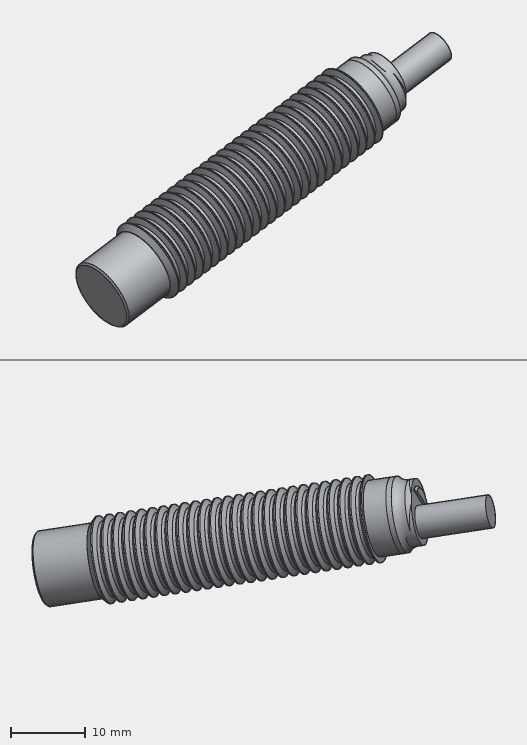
import cadquery as cq
import math


total_length = 63.2
crest_radius = 6.0
barrel_radius = 5.25

cap_radius = 5.2
face_chamfer = 0.25

first_crest_y = 8.7
crest_span = 38.05
ridge_count = 26
ridge_crest_width = 0.2
ridge_flank_angle = 30.0
housing_rear = 50.05

flange_thickness = 0.75
rear_face = 53.2
neck_radius = 4.55
neck_chamfer = 0.7
neck_land = 0.25
oval_end_radius = 3.8
oval_half_height = 4.7

lamp_radius = 3.1
lamp_height = 0.4
lamp_bevel = 0.3
lamp_axis_z = 0.5
lamp_flat_z = 1.85

cable_radius = 2.3
cable_axis_z = -1.6

ridge_height = crest_radius - barrel_radius
ridge_base_width = ridge_crest_width + 2 * ridge_height * math.tan(math.radians(ridge_flank_angle))
pitch = crest_span / (ridge_count - 1)
housing_front = first_crest_y - ridge_crest_width / 2 - ridge_height
flange_rear = housing_rear + flange_thickness
neck_rear = rear_face - neck_chamfer
neck_front = neck_rear - neck_land


def revolve_about_y(profile):
    """Turn a closed (radius, Y) profile into a solid around the Y axis."""
    return profile.close().revolve(360, (0, 0, 0), (0, 1, 0))


def rear_facing_plane(y, z=0.0):
    """Plane at the given Y whose normal points towards +Y and whose local Y axis points up."""
    return cq.Plane(origin=(0, y, z), xDir=(-1, 0, 0), normal=(0, 1, 0))


def make_sensing_cap():
    """Plain front cylinder with a small chamfer around the sensing face."""
    cap = cq.Workplane(rear_facing_plane(0)).circle(cap_radius).extrude(housing_front)
    return cap.faces("<Y").chamfer(face_chamfer)


def make_housing():
    """Barrel with separate ring ridges: a 45 degree lead-in in front, a flat shoulder behind."""
    profile = cq.Workplane("XY").moveTo(0, housing_front).lineTo(barrel_radius, housing_front)
    for i in range(ridge_count):
        ridge_y = first_crest_y + i * pitch
        crest_front = ridge_y - ridge_crest_width / 2
        crest_rear = ridge_y + ridge_crest_width / 2
        is_last = i == ridge_count - 1
        if i > 0:
            profile = profile.lineTo(barrel_radius, ridge_y - ridge_base_width / 2)
        profile = profile.lineTo(crest_radius, crest_front).lineTo(crest_radius, crest_rear)
        ridge_end = crest_rear if is_last else ridge_y + ridge_base_width / 2
        profile = profile.lineTo(barrel_radius, ridge_end)
    profile = profile.lineTo(barrel_radius, housing_rear).lineTo(0, housing_rear)
    return revolve_about_y(profile)


def make_rear_cap():
    """Flange that sweeps in to a chamfered neck, joined with an upright oval boss."""
    sweep_rise = barrel_radius - neck_radius
    sweep_length = neck_front - flange_rear
    sweep_radius = (sweep_length**2 + sweep_rise**2) / (2 * sweep_rise)
    half_angle = math.asin(sweep_length / sweep_radius) / 2
    sweep_middle = (
        neck_radius + sweep_radius * (1 - math.cos(half_angle)),
        neck_front - sweep_radius * math.sin(half_angle),
    )
    body = revolve_about_y(
        cq.Workplane("XY")
        .moveTo(0, housing_rear)
        .lineTo(barrel_radius, housing_rear)
        .lineTo(barrel_radius, flange_rear)
        .threePointArc(sweep_middle, (neck_radius, neck_front))
        .lineTo(neck_radius, neck_rear)
        .lineTo(neck_radius - neck_chamfer, rear_face)
        .lineTo(0, rear_face)
    )
    boss = (
        cq.Workplane(rear_facing_plane(flange_rear))
        .slot2D(2 * oval_half_height, 2 * oval_end_radius, angle=90)
        .extrude(rear_face - flange_rear)
    )
    return body.union(boss)


def make_lamp():
    """Low bevelled disc cut off by a horizontal flat, leaving only its upper segment."""
    disc = (
        cq.Workplane(rear_facing_plane(rear_face, lamp_axis_z))
        .circle(lamp_radius)
        .extrude(lamp_height)
        .faces(">Y")
        .chamfer(lamp_bevel)
    )
    upper_region = cq.Workplane("XY", origin=(0, rear_face, lamp_flat_z)).box(
        2 * lamp_radius, 2 * lamp_height, 2 * lamp_radius, centered=(True, True, False)
    )
    return disc.intersect(upper_region)


def make_cable():
    """Round cable stub standing on the rear face below the sensor axis."""
    cable_plane = rear_facing_plane(rear_face, cable_axis_z)
    return cq.Workplane(cable_plane).circle(cable_radius).extrude(total_length - rear_face)


sensing_cap = make_sensing_cap()
housing = make_housing()
rear_cap = make_rear_cap()
lamp = make_lamp()
cable = make_cable()

bodies = [sensing_cap, housing, rear_cap, lamp, cable]
result = cq.Compound.makeCompound([body.solids().val() for body in bodies])